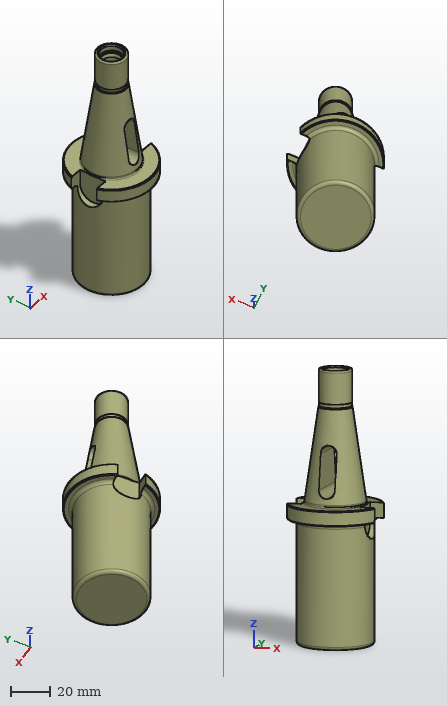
import cadquery as cq
import math

total_height = 143.4
flange_top = 73.4
flange_thickness = 8.0
flange_bottom = flange_top - flange_thickness

body_radius = 20.1
body_base_round = 2.0
flange_radius = 25.0
flange_edge_chamfer = 0.6
neck_fillet = 2.0

taper_slope = 7 / 48
taper_base_radius = 15.9
taper_base_height = 75.0
taper_base_fillet = 0.6
taper_top_height = 123.5
taper_top_radius = taper_base_radius - taper_slope * (taper_top_height - taper_base_height)

tip_radius = 8.6
tip_round = 0.9
relief_radius = 8.5
relief_bottom = 124.2
relief_top = 125.9
relief_step = tip_radius - relief_radius

counterbore_radius = 6.5
counterbore_depth = 3.6
rim_chamfer = 0.7
ledge_drop = 0.5
recess_radius = 6.0
recess_length = 1.0
entry_cone_height = 1.9
bore_radius = 5.2
bore_depth = 25.8
drill_half_angle = math.radians(59)

notch_width = 16.0
notch_radius = notch_width / 2
notch_bottom = 55.9
notch_floor_offset = 16.0

slot_width = 8.6
slot_bottom = 78.0
slot_top = 105.1


def make_outer_body():
    """Revolve the complete outer profile about Z."""
    diagonal = math.sqrt(0.5)
    base_mid = (
        body_radius - body_base_round * (1 - diagonal),
        body_base_round * (1 - diagonal),
    )
    neck_mid = (
        body_radius + neck_fillet * (1 - diagonal),
        flange_bottom - neck_fillet * (1 - diagonal),
    )
    taper_foot_mid = (
        taper_base_radius + taper_base_fillet * (1 - diagonal),
        flange_top + taper_base_fillet * (1 - diagonal),
    )
    tip_mid = (
        tip_radius - tip_round * (1 - diagonal),
        total_height - tip_round * (1 - diagonal),
    )
    profile = (
        cq.Workplane("XZ")
        .lineTo(body_radius - body_base_round, 0)
        .threePointArc(base_mid, (body_radius, body_base_round))
        .lineTo(body_radius, flange_bottom - neck_fillet)
        .threePointArc(neck_mid, (body_radius + neck_fillet, flange_bottom))
        .lineTo(flange_radius - flange_edge_chamfer, flange_bottom)
        .lineTo(flange_radius, flange_bottom + flange_edge_chamfer)
        .lineTo(flange_radius, flange_top - flange_edge_chamfer)
        .lineTo(flange_radius - flange_edge_chamfer, flange_top)
        .lineTo(taper_base_radius + taper_base_fillet, flange_top)
        .threePointArc(taper_foot_mid, (taper_base_radius, flange_top + taper_base_fillet))
        .lineTo(taper_base_radius, taper_base_height)
        .lineTo(taper_top_radius, taper_top_height)
        .lineTo(relief_radius, relief_bottom)
        .lineTo(relief_radius, relief_top)
        .lineTo(tip_radius, relief_top + relief_step)
        .lineTo(tip_radius, total_height - tip_round)
        .threePointArc(tip_mid, (tip_radius - tip_round, total_height))
        .lineTo(0, total_height)
        .close()
    )
    return profile.revolve(360, (0, 0, 0), (0, 1, 0))


def make_bore():
    """Counterbore with chamfered rim, a short narrower recess and a drilled hole with a conical end."""
    counterbore_floor = total_height - counterbore_depth
    recess_top = counterbore_floor - ledge_drop
    recess_bottom = recess_top - recess_length
    bore_start = recess_bottom - entry_cone_height
    bore_end = total_height - bore_depth
    drill_tip = bore_end - bore_radius / math.tan(drill_half_angle)
    profile = (
        cq.Workplane("XZ")
        .moveTo(0, total_height)
        .lineTo(counterbore_radius + rim_chamfer, total_height)
        .lineTo(counterbore_radius, total_height - rim_chamfer)
        .lineTo(counterbore_radius, counterbore_floor)
        .lineTo(recess_radius, recess_top)
        .lineTo(recess_radius, recess_bottom)
        .lineTo(bore_radius, bore_start)
        .lineTo(bore_radius, bore_end)
        .lineTo(0, drill_tip)
        .close()
    )
    return profile.revolve(360, (0, 0, 0), (0, 1, 0))


def make_drive_notch(side):
    """Round-bottomed notch, open at the flange top, on the side given by the sign of X."""
    notch_depth = flange_radius - notch_floor_offset
    return (
        cq.Workplane("YZ", origin=(side * notch_floor_offset, 0, 0))
        .moveTo(-notch_radius, flange_top)
        .lineTo(-notch_radius, notch_bottom + notch_radius)
        .threePointArc((0, notch_bottom), (notch_radius, notch_bottom + notch_radius))
        .lineTo(notch_radius, flange_top)
        .close()
        .extrude(side * notch_depth)
    )


def make_cross_slot():
    """Upright obround passing right through the taper."""
    return (
        cq.Workplane("XZ", origin=(0, 0, (slot_bottom + slot_top) / 2))
        .slot2D(slot_top - slot_bottom, slot_width, 90)
        .extrude(taper_base_radius, both=True)
    )


result = make_outer_body().cut(make_bore()).cut(make_cross_slot())
for side in (-1, 1):
    result = result.cut(make_drive_notch(side))